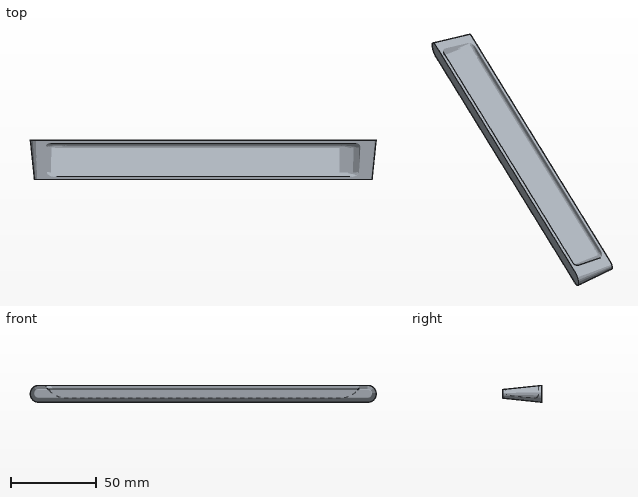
import cadquery as cq
import math

length = 202.0
depth = 23.0
back_height = 10.0
taper_angle = 6.0
edge_fillet = 0.3

back_wall = 2.0
front_wall = 1.7
floor_thickness = 2.0
floor_half_length = 79.7
opening_half_length_back = 91.9
opening_half_length_front = 90.9
pocket_fillet = 2.4

mid_height = back_height / 2


def half_height(y):
    """Half the height of the bar at distance y from its front face."""
    return mid_height - (depth - y) * math.tan(math.radians(taper_angle))


def make_bar():
    """Stadium profile at the back, shrinking evenly towards the front face at y = 0."""
    return (
        cq.Workplane("XZ", origin=(0, depth, mid_height))
        .slot2D(length, back_height)
        .extrude(depth, taper=taper_angle)
    )


def pocket_profile(y, opening_half_length):
    """Closed wire at y: flat floor, an arc rising tangentially at each end, straight top."""
    top = mid_height + half_height(y)
    floor = mid_height - half_height(y) + floor_thickness
    right_floor_end = cq.Vector(floor_half_length, y, floor)
    left_floor_end = cq.Vector(-floor_half_length, y, floor)
    right_rim = cq.Vector(opening_half_length, y, top)
    left_rim = cq.Vector(-opening_half_length, y, top)
    rightward = cq.Vector(1, 0, 0)
    return cq.Wire.assembleEdges([
        cq.Edge.makeLine(left_floor_end, right_floor_end),
        cq.Edge.makeTangentArc(right_floor_end, rightward, right_rim),
        cq.Edge.makeLine(right_rim, left_rim),
        cq.Edge.makeTangentArc(left_floor_end, -rightward, left_rim),
    ])


def is_straight_top(edge):
    """True for the straight edges that close the pocket profiles at the top of the bar."""
    return edge.geomType() == "LINE" and edge.Center().z > mid_height


def make_pocket():
    """Ruled solid between the front and back profiles, rounded where its walls meet the floor."""
    front_profile = pocket_profile(front_wall, opening_half_length_front)
    back_profile = pocket_profile(depth - back_wall, opening_half_length_back)
    pocket = cq.Workplane(cq.Solid.makeLoft([front_profile, back_profile], True))
    wall_edges = pocket.faces("<Y or >Y").edges()
    return wall_edges.filter(lambda edge: not is_straight_top(edge)).fillet(pocket_fillet)


def round_edges(bar):
    """Soften the outline of the front face and the rim of the pocket."""
    bar = bar.faces("<Y").edges().fillet(edge_fillet)
    top_face = bar.faces().filter(lambda face: len(face.innerWires()) > 0).val()
    rim = top_face.innerWires()[0]
    return bar.newObject(rim.Edges()).fillet(edge_fillet)


result = round_edges(make_bar().cut(make_pocket()))